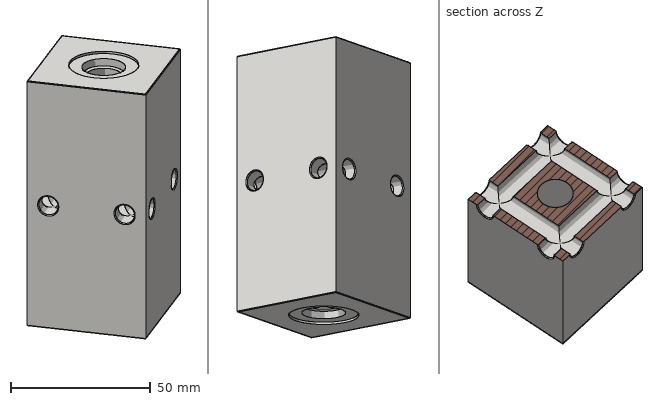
import cadquery as cq

block_width = 44.5
block_height = 95.25
edge_chamfer = 0.3

bore_diameter = 12.8
spotface_diameter = 25.1
spotface_depth = 0.9
mouth_diameter = 15.7
mouth_end_diameter = 14.6
mouth_depth = 2.6
step_depth = 0.6

cross_hole_diameter = 7.1
cross_hole_spacing = 28.6
cross_hole_chamfer = 0.4

mid_height = block_height / 2


def make_block():
    """Square block with its top and bottom edges broken."""
    block = cq.Workplane("XY").box(block_width, block_width, block_height)
    block = block.faces("<Z or >Z").chamfer(edge_chamfer)
    return block.translate((0, 0, mid_height))


def make_upper_port_cutter():
    """Spotface, tapered mouth, conical step and the upper half of the bore."""
    mouth_z = block_height - spotface_depth
    step_z = mouth_z - mouth_depth
    bore_z = step_z - step_depth
    profile = cq.Workplane("XZ").polyline([
        (0, mid_height),
        (bore_diameter / 2, mid_height),
        (bore_diameter / 2, bore_z),
        (mouth_end_diameter / 2, step_z),
        (mouth_diameter / 2, mouth_z),
        (spotface_diameter / 2, mouth_z),
        (spotface_diameter / 2, block_height),
        (0, block_height),
    ]).close()
    return profile.revolve(360, (0, 0, 0), (0, 1, 0))


def make_bore_cutter():
    """Full-length bore: the upper port and its mirror image below mid height."""
    upper_port = make_upper_port_cutter()
    lower_port = upper_port.mirror("XY", (0, 0, mid_height))
    return upper_port.union(lower_port)


def make_cross_hole_cutter():
    """One hole along Y through the whole block, chamfered at both ends."""
    radius = cross_hole_diameter / 2
    end_radius = radius + cross_hole_chamfer
    half_length = block_width / 2
    chamfer_start = half_length - cross_hole_chamfer
    profile = cq.Workplane("XY").polyline([
        (0, -half_length),
        (end_radius, -half_length),
        (radius, -chamfer_start),
        (radius, chamfer_start),
        (end_radius, half_length),
        (0, half_length),
    ]).close()
    cutter = profile.revolve(360, (0, 0, 0), (0, 1, 0))
    return cutter.translate((cross_hole_spacing / 2, 0, mid_height))


result = make_block().cut(make_bore_cutter())

for turn in (0, 90, 180, 270):
    cross_hole = make_cross_hole_cutter().rotate((0, 0, 0), (0, 0, 1), turn)
    result = result.cut(cross_hole)